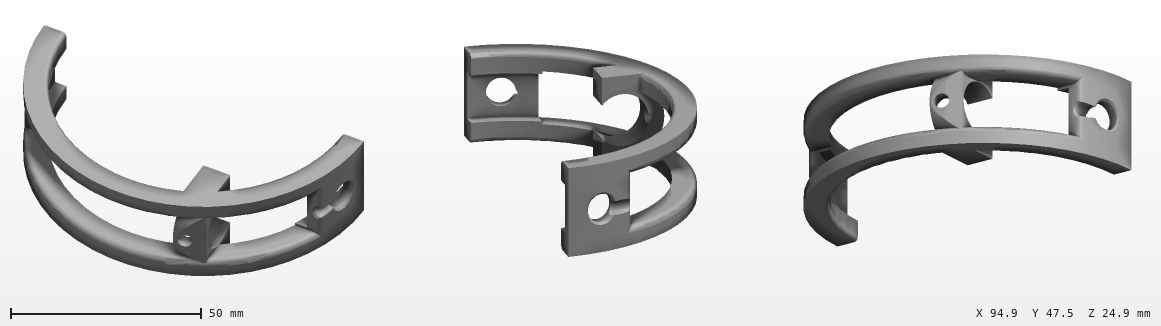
import cadquery as cq
import math

outer_radius = 47.45
inner_radius = 40.9
height = 24.9
inner_edge_fillet = 1.2
cut_overshoot = 0.95

window_height = 14.8
window_end_y = -18.2
window_edge_fillet = 1.7

recess_radius = 44.2
recess_height = 13.3

end_hole_diameter = 7.9
end_hole_chamfer = 0.6
end_hole_angle = 11.6
end_hole_offset_z = 0.3

screw_diameter = 4.0
end_hole_y = -9.5
left_screw_x = -45.0
left_screw_z = -0.95
right_screw_x = 44.2
screw_chamfer = 0.6

block_left_x = 14.6
block_width = 8.0
block_back_y = -27.9
block_front_y = -41.3
bore_y = -33.5
bore_diameter = 14.5
block_nose_radius = 11.5
block_flat_left_x = 18.8
block_screw_angle = 22.0


def half_disc(radius, thickness):
    """Half cylinder on the -Y side, centred on Z = 0."""
    return (
        cq.Workplane("XY")
        .workplane(offset=-thickness / 2)
        .moveTo(-radius, 0)
        .threePointArc((0, -radius), (radius, 0))
        .close()
        .extrude(thickness)
    )


def box_between(x_min, x_max, y_min, y_max, thickness):
    """Box spanning the given X and Y limits, centred on Z = 0."""
    return cq.Workplane("XY").box(x_max - x_min, y_max - y_min, thickness).translate(
        ((x_min + x_max) / 2, (y_min + y_max) / 2, 0)
    )


def rod(diameter, start, direction, length):
    return cq.Workplane(
        cq.Solid.makeCylinder(diameter / 2, length, cq.Vector(*start), cq.Vector(*direction))
    )


def make_band():
    band = half_disc(outer_radius, height).cut(half_disc(inner_radius, height))
    inner_edges = cq.selectors.RadiusNthSelector(0)
    band = band.edges(inner_edges).fillet(inner_edge_fillet)
    window = box_between(-outer_radius, outer_radius, -outer_radius, window_end_y, window_height)
    band = band.cut(window)

    rim_x = math.sqrt(outer_radius**2 - window_end_y**2)
    margin = 0.1
    rim_edges = []
    for edge in band.edges().vals():
        center = edge.Center()
        on_rail = (
            edge.geomType() == "CIRCLE"
            and abs(edge.radius() - outer_radius) < margin
            and abs(abs(center.z) - window_height / 2) < margin
        )
        on_end = abs(abs(center.x) - rim_x) < margin and abs(center.y - window_end_y) < margin
        if on_rail or on_end:
            rim_edges.append(edge)
    band = band.newObject(rim_edges).fillet(window_edge_fillet)
    return band.cut(half_disc(recess_radius, recess_height))


def end_hole(side):
    """Radial hole, chamfered at the outer face; side is -1 for left and 1 for right."""
    angle = math.radians(end_hole_angle)
    direction = (side * math.cos(angle), -math.sin(angle), 0)
    center_z = side * end_hole_offset_z
    start = (0, 0, center_z)
    hole = rod(end_hole_diameter, start, direction, outer_radius + cut_overshoot)
    mouth = cq.Solid.makeCone(
        end_hole_diameter / 2,
        end_hole_diameter / 2 + 2 * end_hole_chamfer,
        2 * end_hole_chamfer,
        cq.Vector(
            direction[0] * (outer_radius - end_hole_chamfer),
            direction[1] * (outer_radius - end_hole_chamfer),
            center_z,
        ),
        cq.Vector(*direction),
    )
    return hole.union(cq.Workplane(mouth))


def screw_passage(x, z):
    return rod(screw_diameter, (x, window_end_y, z), (0, 1, 0), end_hole_y - window_end_y)


def screw_countersink(x, z):
    cone = cq.Solid.makeCone(
        screw_diameter / 2 + screw_chamfer,
        screw_diameter / 2,
        screw_chamfer,
        cq.Vector(x, window_end_y, z),
        cq.Vector(0, 1, 0),
    )
    return cq.Workplane(cone)


def make_block():
    block_right_x = block_left_x + block_width
    block = box_between(block_left_x, block_right_x, block_front_y, block_back_y, height)
    nose_start = (block_left_x, bore_y, 0)
    nose = rod(2 * block_nose_radius, nose_start, (1, 0, 0), block_width)
    nose = nose.intersect(box_between(block_left_x, block_right_x, -outer_radius, bore_y, height))
    block = block.union(nose).intersect(half_disc(outer_radius, height))

    flat_left_y = -math.sqrt(outer_radius**2 - block_flat_left_x**2)
    waste = (
        cq.Workplane("XY")
        .workplane(offset=-height / 2)
        .moveTo(block_flat_left_x, flat_left_y)
        .lineTo(block_right_x, block_front_y)
        .lineTo(block_right_x, -outer_radius)
        .lineTo(block_flat_left_x, -outer_radius)
        .close()
        .extrude(height)
    )
    return block.cut(waste)


def block_cutouts():
    bore = rod(bore_diameter, (block_left_x, bore_y, 0), (1, 0, 0), block_width)
    angle = math.radians(block_screw_angle)
    radial = (math.sin(angle), -math.cos(angle), 0)
    bore_distance = -bore_y / math.cos(angle)
    start = tuple(bore_distance * component for component in radial)
    return bore.union(rod(screw_diameter, start, radial, outer_radius - bore_distance + cut_overshoot))


result = make_band()
for side in (-1, 1):
    result = result.cut(end_hole(side))
result = result.cut(screw_passage(left_screw_x, left_screw_z))
result = result.cut(screw_passage(right_screw_x, 0))
result = result.cut(screw_countersink(right_screw_x, 0))
result = result.union(make_block()).cut(block_cutouts())